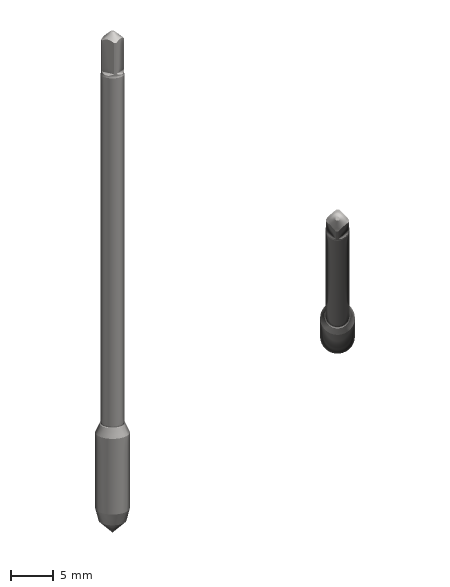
import cadquery as cq

total_length = 64.35
point_height = 1.6
taper_top = 3.15
barrel_top = 12.9
shoulder_top = 14.0
neck_top = 14.2
shaft_top = 58.9
neck_bevel_height = 0.2
drive_flat_bottom = 59.4
crown_height = 0.95

barrel_diameter = 4.1
point_diameter = 3.35
shoulder_diameter = 3.1
shaft_diameter = 2.8
drive_diameter = 2.7
crown_diameter = 0.5
neck_diameter = 2.7

drive_width = 2.1
flat_count = 4
runout_height = 0.25


def turned_body(outer_profile):
    """Revolve a (radius, height) profile about the Z axis."""
    bottom = outer_profile[0][1]
    top = outer_profile[-1][1]
    profile = [(0, bottom), *outer_profile, (0, top)]
    if outer_profile[0][0] == 0:
        profile.pop(0)
    return cq.Workplane("XZ").polyline(profile).close().revolve(360, (0, 0), (0, 1))


def flat_cutter():
    """Wedge-ended block that mills the drive flat on the +X side."""
    flat_offset = drive_width / 2
    drive_radius = drive_diameter / 2
    profile = [
        (flat_offset, drive_flat_bottom),
        (drive_radius, drive_flat_bottom - runout_height),
        (shaft_diameter, drive_flat_bottom - runout_height),
        (shaft_diameter, total_length),
        (flat_offset, total_length),
    ]
    return cq.Workplane("XZ").polyline(profile).close().extrude(shaft_diameter, both=True)


def make_tip():
    """Pointed barrel that carries the shaft on its flat upper end."""
    return turned_body([
        (0, 0),
        (point_diameter / 2, point_height),
        (barrel_diameter / 2, taper_top),
        (barrel_diameter / 2, barrel_top),
        (shoulder_diameter / 2, shoulder_top),
    ])


def make_shaft():
    """Round shaft with a square drive and conical crown at its upper end."""
    shaft = turned_body([
        (neck_diameter / 2, shoulder_top),
        (neck_diameter / 2, neck_top),
        (shaft_diameter / 2, neck_top),
        (shaft_diameter / 2, shaft_top),
        (drive_diameter / 2, shaft_top + neck_bevel_height),
        (drive_diameter / 2, total_length - crown_height),
        (crown_diameter / 2, total_length),
    ])
    cutter = flat_cutter()
    for index in range(flat_count):
        angle = index * 360 / flat_count
        shaft = shaft.cut(cutter.rotate((0, 0, 0), (0, 0, 1), angle))
    return shaft


tip = make_tip()
shaft = make_shaft()

result = cq.Compound.makeCompound([tip.val(), shaft.val()])